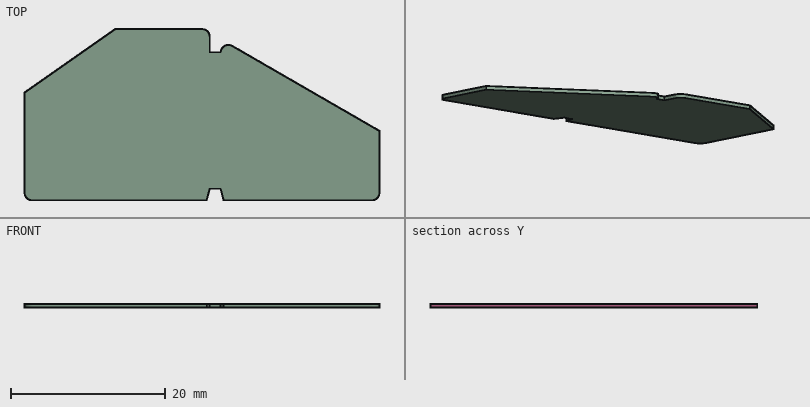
import cadquery as cq
import math

length = 46
width = 22.2
thickness = 0.5

left_edge_height = 14.0
left_slope_angle = 35
right_edge_height = 9.0
right_slope_angle = 30

notch_left = 24.0
notch_floor_width = 1.4
notch_right = notch_left + notch_floor_width
upper_notch_floor = 19.25
lower_notch_depth = 1.5
notch_wall_angle = 15

corner_radius = 1.0
selection_reach = 0.05

left_slope = math.tan(math.radians(left_slope_angle))
left_slope_run = (width - left_edge_height) / left_slope

right_slope = math.tan(math.radians(right_slope_angle))
wall_lean = math.tan(math.radians(notch_wall_angle))
slope_height_at_notch = right_edge_height + (length - notch_right) * right_slope
peak_rise = (slope_height_at_notch - upper_notch_floor) / (1 + wall_lean * right_slope)
peak = (notch_right + peak_rise * wall_lean, upper_notch_floor + peak_rise)

mouth_spread = lower_notch_depth * wall_lean

bottom_left = (0, 0)
bottom_right = (length, 0)
top_right = (notch_left, width)


def make_plate():
    """Flat plate with sharp corners and both notches in its outline."""
    outline = [
        bottom_left,
        (notch_left - mouth_spread, 0),
        (notch_left, lower_notch_depth),
        (notch_right, lower_notch_depth),
        (notch_right + mouth_spread, 0),
        bottom_right,
        (length, right_edge_height),
        peak,
        (notch_right, upper_notch_floor),
        (notch_left, upper_notch_floor),
        top_right,
        (left_slope_run, width),
        (0, left_edge_height),
    ]
    return cq.Workplane("XY").polyline(outline).close().extrude(thickness)


def round_corner(plate, corner):
    """Round the vertical edge standing at an outline corner."""
    x, y = corner
    edge_box = cq.selectors.BoxSelector(
        (x - selection_reach, y - selection_reach, 0),
        (x + selection_reach, y + selection_reach, thickness),
    )
    return plate.edges(edge_box).fillet(corner_radius)


result = make_plate()
for corner in [bottom_left, bottom_right, peak, top_right]:
    result = round_corner(result, corner)